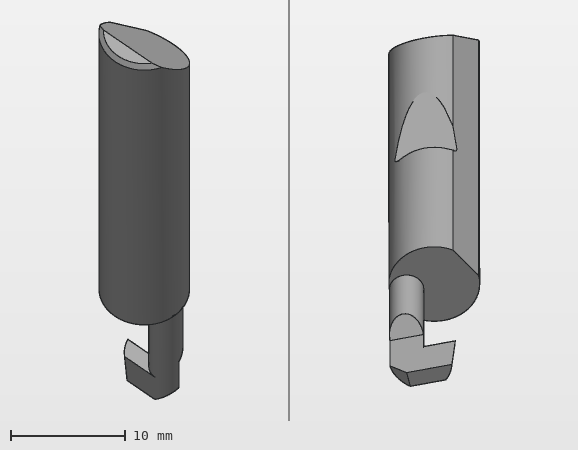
import cadquery as cq
import math

total_height = 50.8
shank_radius = 3.95
shank_bottom = 12.7
top_chamfer = 0.4

slope_start_y = -2.25

flat_distance = 3.55
flat_angle = 153.0

notch_bottom = 27.85
notch_top = 36.25
notch_taper = 9.5
notch_corner_radius = 0.8

neck_diameter = 3.0
neck_radius = neck_diameter / 2
neck_x = shank_radius - neck_radius
relief_bottom = 5.35

head_height = 3.5
head_top_drop = 0.2
head_tip_x = -1.9
head_flank_x = -1.0
flank_bulge = 0.125
head_side_taper = 5.0

margin = 5.1


def prism_along_x(points):
    """Extrude a closed Y-Z outline through the full width of the tool."""
    return cq.Workplane("YZ").polyline(points).close().extrude(2 * shank_radius, both=True)


def make_shank():
    shank = (
        cq.Workplane("XY")
        .workplane(offset=shank_bottom)
        .circle(shank_radius)
        .extrude(total_height - shank_bottom)
        .faces(">Z")
        .chamfer(top_chamfer)
    )
    flat_cutter = (
        cq.Workplane("XY")
        .box(margin, 4 * shank_radius, 2 * total_height)
        .translate((flat_distance + margin / 2, 0, total_height))
        .rotate((0, 0, 0), (0, 0, 1), flat_angle)
    )
    slope_run = shank_radius + margin - slope_start_y
    slope_cutter = prism_along_x([
        (slope_start_y, total_height),
        (slope_start_y + slope_run, total_height - slope_run),
        (slope_start_y + slope_run, total_height),
    ])
    return shank.cut(flat_cutter).cut(slope_cutter).cut(make_notch_cutter())


def make_notch_cutter():
    """Wedge with a level floor and a gently tapered back, rounded in the corner."""
    taper = math.tan(math.radians(notch_taper))
    notch_depth = (notch_top - notch_bottom) * taper
    outer_y = shank_radius + margin * taper
    wedge = prism_along_x([
        (shank_radius - notch_depth, notch_bottom),
        (outer_y, notch_bottom),
        (outer_y, notch_top + margin),
    ])
    return wedge.edges("|X and <Y").fillet(notch_corner_radius)


def make_neck():
    """Round neck, reduced to its -Y half near the foot and bevelled on the outer side."""
    neck = cq.Workplane("XY").center(neck_x, 0).circle(neck_radius).extrude(shank_bottom)
    relief = prism_along_x([
        (0, -margin),
        (0, relief_bottom),
        (margin, relief_bottom + margin),
        (margin, -margin),
    ])
    bevel = (
        cq.Workplane("XZ")
        .polyline([(neck_x, 0), (neck_x + margin, margin), (neck_x + margin, 0)])
        .close()
        .extrude(margin, both=True)
    )
    inner_end = cq.Workplane("XY").box(
        neck_radius, 2 * neck_radius, head_height - head_top_drop, centered=(False, True, False)
    ).translate((neck_x - neck_radius, 0, 0))
    return neck.cut(relief).cut(bevel).cut(inner_end)


def make_head():
    """Block with a curved flank that leans outward from foot to tip, its top falling toward -Y."""
    lean = head_height * math.tan(math.radians(head_side_taper))

    def outline(plane, shift):
        tip = (head_tip_x + shift, 0)
        flank = (head_flank_x + shift, -neck_radius)
        chord = math.dist(tip, flank)
        middle = (
            (tip[0] + flank[0]) / 2 - flank_bulge * neck_radius / chord,
            (tip[1] + flank[1]) / 2 - flank_bulge * (flank[0] - tip[0]) / chord,
        )
        return (
            plane.moveTo(neck_x, 0)
            .lineTo(*tip)
            .threePointArc(middle, flank)
            .lineTo(neck_x, -neck_radius)
            .close()
        )

    foot = outline(cq.Workplane("XY"), lean)
    block = outline(foot.workplane(offset=head_height), 0).loft(ruled=True)
    top_cutter = prism_along_x([
        (0, head_height),
        (-neck_radius, head_height - head_top_drop),
        (-neck_radius, head_height),
    ])
    return block.cut(top_cutter)


result = make_shank().union(make_neck()).union(make_head())